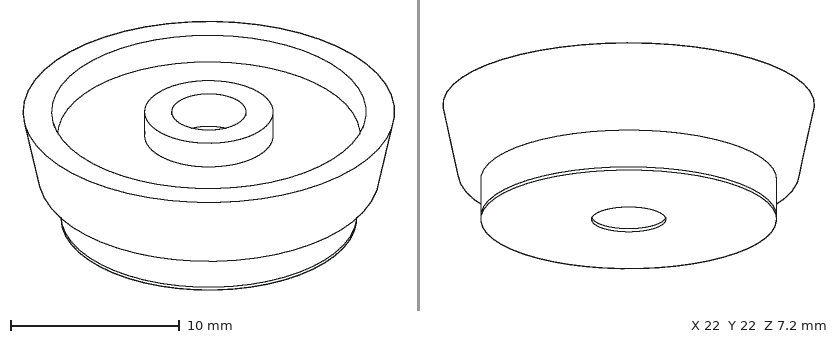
import cadquery as cq

height = 7.2
rim_radius = 11.0

foot_radius = 8.75
foot_height = 2.5
pad_thickness = 0.2

cup_base_radius = 10.03
cup_edge_fillet = 0.5

recess_depth = 1.6
recess_rim_radius = 9.3
recess_floor_radius = 8.95

bush_radius = 3.8
bush_length = 2.2
bore_radius = 2.2

recess_floor_z = height - recess_depth
bush_base_z = height - bush_length


def make_ring(outer_radius, thickness, base_z):
    """Flat ring around the Z axis with the common central bore."""
    return (
        cq.Workplane("XY")
        .workplane(offset=base_z)
        .circle(outer_radius)
        .circle(bore_radius)
        .extrude(thickness)
    )


def make_cone(base_radius, top_radius, base_z, top_z):
    """Truncated cone around the Z axis."""
    profile = [(0, base_z), (base_radius, base_z), (top_radius, top_z), (0, top_z)]
    return cq.Workplane("XZ").polyline(profile).close().revolve(360, (0, 0), (0, 1))


def make_housing():
    """Flared cup on a cylindrical foot, with a recess, a bush seat and a bore."""
    cup = make_cone(cup_base_radius, rim_radius, foot_height, height)
    cup = cup.faces("<Z").edges().fillet(cup_edge_fillet)

    foot = (
        cq.Workplane("XY")
        .workplane(offset=pad_thickness)
        .circle(foot_radius)
        .extrude(foot_height - pad_thickness)
    )
    recess = make_cone(recess_floor_radius, recess_rim_radius, recess_floor_z, height)
    bush_seat = cq.Workplane("XY").workplane(offset=bush_base_z).circle(bush_radius).extrude(bush_length)
    bore = cq.Workplane("XY").circle(bore_radius).extrude(height)

    return cup.union(foot).cut(recess).cut(bush_seat).cut(bore).solids()


def make_bush():
    """Plain bush seated in the recess floor."""
    return make_ring(bush_radius, bush_length, bush_base_z)


def make_pad():
    """Thin ring under the foot."""
    return make_ring(foot_radius, pad_thickness, 0)


housing = make_housing()
bush = make_bush()
pad = make_pad()

result = cq.Compound.makeCompound([housing.val(), bush.val(), pad.val()])